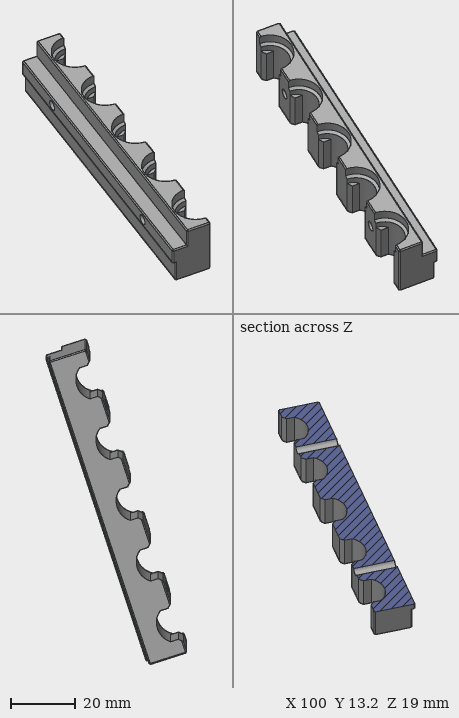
import cadquery as cq

length = 100.0
height = 19.0
depth = 13.2
edge_break = 0.4

upper_depth = 8.2
lower_depth = 12.2
shelf_height = 12.9
nose_bottom = 7.3

seat_count = 5
seat_pitch = length / seat_count
seat_radius = 7.3
seat_depth = 3.2
bore_radius = 6.3
bore_depth = 2.0
throat_half_width = 5.1
step_drop = 0.6

hole_diameter = 3.2
hole_inset = seat_pitch
hole_height = 10.0

seat_floor = height - seat_depth
bore_top = seat_floor - step_drop
bore_bottom = bore_top - bore_depth
throat_lead = bore_radius - throat_half_width
throat_top = bore_bottom - step_drop


def make_body():
    """Stepped bar along X with its back on Y = 0 and every convex edge chamfered."""
    profile = [
        (0, 0),
        (-lower_depth, 0),
        (-lower_depth, nose_bottom),
        (-depth, nose_bottom),
        (-depth, shelf_height),
        (-upper_depth, shelf_height),
        (-upper_depth, height),
        (0, height),
    ]
    inner_corners = [(-lower_depth, nose_bottom), (-upper_depth, shelf_height)]
    bar = cq.Workplane("YZ").polyline(profile).close().extrude(length)

    long_edges = bar.newObject([])
    for y, z in profile:
        if (y, z) not in inner_corners:
            nearest = cq.selectors.NearestToPointSelector((length / 2, y, z))
            long_edges = long_edges.add(bar.edges("|X").edges(nearest))
    bar = long_edges.chamfer(edge_break)
    return bar.faces("<X or >X").edges().chamfer(edge_break)


def make_seat_cutter():
    """Cutter on the Z axis: wide bore, cone and narrow bore, trimmed to the throat low down."""
    bores = (
        cq.Workplane("XZ")
        .moveTo(0, 0)
        .lineTo(bore_radius, 0)
        .lineTo(bore_radius, bore_top)
        .lineTo(seat_radius, seat_floor)
        .lineTo(seat_radius, height)
        .lineTo(0, height)
        .close()
        .revolve(360, (0, 0), (0, 1))
    )

    opening = (
        cq.Workplane("XZ")
        .moveTo(-throat_half_width, 0)
        .lineTo(throat_half_width, 0)
        .lineTo(throat_half_width, throat_top)
        .lineTo(bore_radius, bore_bottom)
        .lineTo(seat_radius, bore_bottom)
        .lineTo(seat_radius, height)
        .lineTo(-seat_radius, height)
        .lineTo(-seat_radius, bore_bottom)
        .lineTo(-bore_radius, bore_bottom)
        .lineTo(-throat_half_width, throat_top)
        .close()
        .extrude(seat_radius, both=True)
    )

    flare = (
        cq.Workplane("XY")
        .moveTo(-throat_half_width, -throat_lead)
        .lineTo(throat_half_width, -throat_lead)
        .lineTo(bore_radius, 0)
        .lineTo(-bore_radius, 0)
        .close()
        .extrude(bore_bottom)
    )
    return bores.intersect(opening).union(flare)


def make_hole(x):
    """Round hole from front to back at the given X."""
    return (
        cq.Workplane("XZ")
        .center(x, hole_height)
        .circle(hole_diameter / 2)
        .extrude(depth)
    )


result = make_body()

seat_cutter = make_seat_cutter()
for index in range(seat_count):
    result = result.cut(seat_cutter.translate(((index + 0.5) * seat_pitch, 0, 0)))

for hole_x in (hole_inset, length - hole_inset):
    result = result.cut(make_hole(hole_x))